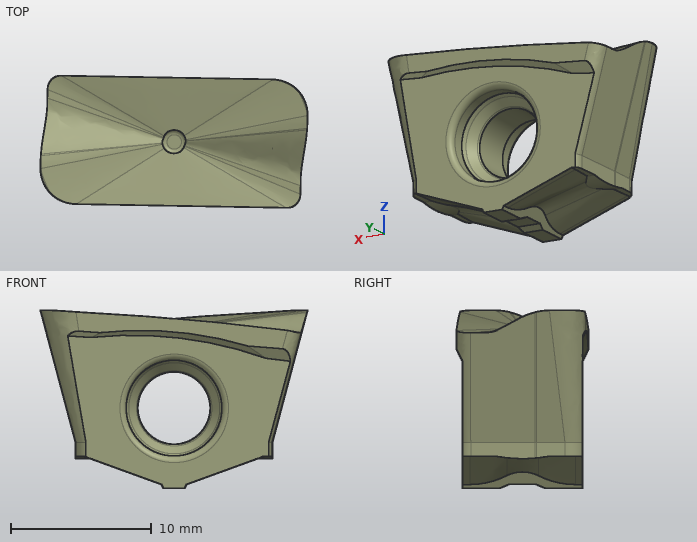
import cadquery as cq
import math


LENGTH = 18.99
HEIGHT = 12.65
SKIRT_TOP_Z = 3.27
END_FLARE = math.tan(math.radians(14.9))
BODY_HALF_WIDTH = 4.27
CLEARANCE = 1.9

WALL_OFFSET = 4.55
TILT = math.tan(math.radians(1.0))
KINK_INNER_Y = 0.85
KINK_OUTER_Y = 0.97
SMALL_RADIUS = 0.99
LARGE_RADIUS_TOP = 2.55
LARGE_RADIUS_SKIRT = 1.46

LEDGE_ON_BODY = [(-11.4, 11.05), (-5.89, 10.71), (0.0, 10.71), (6.53, 9.23), (11.4, 8.64)]
LEDGE_ON_WALL = [(-11.4, 11.47), (-5.26, 11.05), (0.0, 11.1), (5.25, 10.1), (11.4, 9.6)]
LEDGE_CLOSING_Z = HEIGHT + CLEARANCE

APEX = cq.Vector(0, 0, 11.4)
RULING_START = 0.05
RULING_END = 1.2
WALL_START_Z = 12.53
WALL_MIDDLE_Z = 12.05
WALL_END_X = 7.98
WALL_END_Z = 11.22
SMALL_CORNER_MIDDLE_Z = 11.09
SMALL_CORNER_END = (-3.72, 11.03)
WAVE_START = (-3.11, 11.05)
WAVE_MIDDLE = [(-1.63, 11.32), (-1.06, 11.62), (0.0, 12.2)]
WAVE_END_Z = 12.5
WIPER_START_Z = 12.53
WIPER_MIDDLE = (1.4, 12.6)

DIMPLE_RADIUS = 0.84
DIMPLE_FLOOR_RADIUS = 0.51
DIMPLE_FLOOR_Z = 11.2

TAB_HALF_LENGTH = 0.76
TAB_WALL_HEIGHT = 0.27
TAB_WALL_LEAN = 0.5
UNDERSIDE_SLOPE = math.tan(math.radians(20))
WAVE_EDGE_Y = 3.76
WAVE_BEND_Y = 1.1
WAVE_BEND_RISE = 0.65
WAVE_CROWN_RISE = 0.9
UNDERSIDE_OVERRUN = 1.5
SKIRT_BOTTOM_Z = 2.28
SKIRT_DIP_Z = 2.1
SKIRT_DIP_HALF_WIDTH = 1.9
NOTCH_DEPTH = 0.28
NOTCH_MOUTH_Y = 1.6
NOTCH_TOP_Y = 0.93

HOLE_Z = 5.7
MOUTH_RADIUS = 3.85
COLLAR_RADIUS = 3.4
COLLAR_START = 0.51
COLLAR_END = 1.52
SEAT_START_RADIUS = 3.23
SEAT_START = 1.8
SEAT_END_RADIUS = 2.68
SEAT_END = 2.47
BORE_RADIUS = 2.56
BORE_START = 2.62


def half_turn(points):
    """The points turned half a turn about Z."""
    return [(-x, -y, *z) for x, y, *z in points]


def half_turned(shape):
    return shape.rotate(cq.Vector(0, 0, 0), cq.Vector(0, 0, 1), 180)


def half_length(z):
    """Distance from the axis to a wiper facet at height z."""
    return LENGTH / 2 - (HEIGHT - z) * END_FLARE


def wall_y(x):
    """Y of the front flange wall at x."""
    return -(WALL_OFFSET + TILT * x)


def corner_arc(before, corner, after, radius):
    """Start, middle and end points of an arc rounding a corner in plan."""
    corner = cq.Vector(*corner)
    to_before = (cq.Vector(*before) - corner).normalized()
    to_after = (cq.Vector(*after) - corner).normalized()
    half_angle = to_before.getAngle(to_after) / 2
    reach = radius / math.tan(half_angle)
    to_centre = (to_before + to_after).normalized()
    start = corner + to_before * reach
    middle = corner + to_centre * (radius / math.sin(half_angle) - radius)
    end = corner + to_after * reach
    return [(p.x, p.y) for p in (start, middle, end)]


def front_outline(z, large_radius):
    """Large corner arc, small corner arc and kink points along the front half at height z."""
    end_x = half_length(z)
    inner_kink_x = end_x - TILT / 2 * (KINK_OUTER_Y - KINK_INNER_Y)
    inner_kink = (inner_kink_x, KINK_INNER_Y)
    outer_kink = (end_x, KINK_OUTER_Y)
    large_corner = (-end_x, wall_y(-end_x))
    run = (KINK_INNER_Y - wall_y(inner_kink_x)) / (1 - TILT**2)
    small_corner_x = inner_kink_x - TILT * run
    small_corner = (small_corner_x, wall_y(small_corner_x))
    large_arc = corner_arc((-end_x, 0), large_corner, small_corner, large_radius)
    small_arc = corner_arc(large_corner, small_corner, inner_kink, SMALL_RADIUS)
    return large_arc, small_arc, [inner_kink, outer_kink]


def outline(z, large_radius):
    """Closed plan outline at height z."""
    front = front_outline(z, large_radius)
    back = [half_turn(points) for points in front]
    path = cq.Workplane("XY", origin=(0, 0, z)).moveTo(*back[2][-1])
    for large_arc, small_arc, kinks in (front, back):
        path = path.lineTo(*large_arc[0]).threePointArc(*large_arc[1:])
        path = path.lineTo(*small_arc[0]).threePointArc(*small_arc[1:])
        path = path.lineTo(*kinks[0]).lineTo(*kinks[1])
    return path.close()


def make_block():
    """Upright skirt with the flared upper part on it."""
    skirt = outline(SKIRT_TOP_Z, LARGE_RADIUS_SKIRT).extrude(-SKIRT_TOP_Z)
    lower = outline(SKIRT_TOP_Z, LARGE_RADIUS_SKIRT).val()
    upper = outline(HEIGHT, LARGE_RADIUS_TOP).val()
    flared = cq.Solid.makeLoft([lower, upper], True)
    return skirt.union(cq.Workplane(flared))


def flange_profile(ledge, y_at):
    """Closed flange profile above a ledge line, with each point at the depth given by y_at."""
    start, arch_start, arch_middle, arch_end, end = [cq.Vector(x, y_at(x), z) for x, z in ledge]
    top_start = cq.Vector(start.x, start.y, LEDGE_CLOSING_Z)
    top_end = cq.Vector(end.x, end.y, LEDGE_CLOSING_Z)
    return cq.Wire.assembleEdges([
        cq.Edge.makeLine(start, arch_start),
        cq.Edge.makeThreePointArc(arch_start, arch_middle, arch_end),
        cq.Edge.makeLine(arch_end, end),
        cq.Edge.makeLine(end, top_end),
        cq.Edge.makeLine(top_end, top_start),
        cq.Edge.makeLine(top_start, start),
    ])


def make_side_limits():
    """Slab between the flat side faces, widened by the two flanges."""
    slab = cq.Workplane().box(2 * LENGTH, 2 * BODY_HALF_WIDTH, 4 * HEIGHT)
    on_body = flange_profile(LEDGE_ON_BODY, lambda x: -BODY_HALF_WIDTH)
    on_wall = flange_profile(LEDGE_ON_WALL, wall_y)
    flange = cq.Solid.makeLoft([on_body, on_wall], True)
    return slab.union(cq.Workplane(flange)).union(cq.Workplane(half_turned(flange)))


def on_end_face(y, z):
    """Point on the right end face."""
    return (half_length(z) - TILT * max(0, KINK_INNER_Y - y), y, z)


def rim_sections():
    """Edge makers and points of the rim, from the large front corner to the right wiper facet."""
    large_arc, small_arc, _ = front_outline(HEIGHT, LARGE_RADIUS_TOP)
    corner_start = (*large_arc[0], HEIGHT)
    corner_middle = (*large_arc[1], HEIGHT)
    wall_start = (*large_arc[2], WALL_START_Z)
    wall_middle = (0, wall_y(0), WALL_MIDDLE_Z)
    wall_end = (WALL_END_X, wall_y(WALL_END_X), WALL_END_Z)
    small_end = on_end_face(*SMALL_CORNER_END)
    flare_shift = half_length(HEIGHT) - half_length(SMALL_CORNER_MIDDLE_Z)
    small_middle = (small_arc[1][0] - flare_shift, small_arc[1][1], SMALL_CORNER_MIDDLE_Z)
    wave_start = on_end_face(*WAVE_START)
    wave_middle = [on_end_face(*point) for point in WAVE_MIDDLE]
    wave_end = on_end_face(KINK_INNER_Y, WAVE_END_Z)
    wiper_start = on_end_face(KINK_OUTER_Y, WIPER_START_Z)
    wiper_middle = on_end_face(*WIPER_MIDDLE)
    wiper_end = half_turn([corner_start])[0]
    return [
        (make_arc, [corner_start, corner_middle, wall_start]),
        (make_arc, [wall_start, wall_middle, wall_end]),
        (make_arc, [wall_end, small_middle, small_end]),
        (make_line, [small_end, wave_start]),
        (make_spline, [wave_start, *wave_middle, wave_end]),
        (make_line, [wave_end, wiper_start]),
        (make_arc, [wiper_start, wiper_middle, wiper_end]),
    ]


def make_line(points):
    return cq.Edge.makeLine(*points)


def make_arc(points):
    return cq.Edge.makeThreePointArc(*points)


def make_spline(points):
    return cq.Edge.makeSpline(points)


def along_rulings(points, fraction):
    """The points moved along their lines from the apex."""
    return [APEX + (cq.Vector(*point) - APEX) * fraction for point in points]


def make_top_cutters():
    """Space above the top face, one piece for each section of the rim."""
    cutters = []
    for make_edge, points in rim_sections():
        near_edge = make_edge(along_rulings(points, RULING_START))
        far_edge = make_edge(along_rulings(points, RULING_END))
        face = cq.Face.makeRuledSurface(near_edge, far_edge)
        space = cq.Solid.extrudeLinear(face, cq.Vector(0, 0, HEIGHT))
        cutters += [space, half_turned(space)]
    return cutters


def make_dimple():
    """Round recess whose wall curves into its floor."""
    recess = cq.Workplane(origin=(0, 0, DIMPLE_FLOOR_Z)).circle(DIMPLE_RADIUS).extrude(HEIGHT)
    return recess.faces("<Z").edges().fillet(DIMPLE_RADIUS - DIMPLE_FLOOR_RADIUS).val()


def beside_tab(y, rise):
    """Point on the left wall of the tab, at a rise above the side edge of that wall."""
    z = TAB_WALL_HEIGHT + rise
    return cq.Vector(-TAB_HALF_LENGTH - TAB_WALL_LEAN * z, y, z)


def beyond_skirt(y, rise):
    """Far end of the underside line that starts beside the tab; there the wave has died out."""
    start = beside_tab(y, rise)
    edge = beside_tab(y, 0)
    skirt_x = -half_length(SKIRT_TOP_Z)
    at_skirt = cq.Vector(skirt_x, y, edge.z + UNDERSIDE_SLOPE * (edge.x - skirt_x))
    return start + (at_skirt - start) * UNDERSIDE_OVERRUN


def wave_sections():
    """(Y, rise) points of the wave beside the tab: two lines outside three arcs."""
    outer_y = BODY_HALF_WIDTH + CLEARANCE
    hollow_run = WAVE_EDGE_Y - WAVE_BEND_Y
    hollow_radius = (hollow_run**2 + WAVE_BEND_RISE**2) / (2 * WAVE_BEND_RISE)
    hollow_y = WAVE_BEND_Y + hollow_run / 2
    hollow_rise = hollow_radius - math.sqrt(hollow_radius**2 - (hollow_run / 2) ** 2)
    flat = [(outer_y, 0), (WAVE_EDGE_Y, 0)]
    hollow = [(WAVE_EDGE_Y, 0), (hollow_y, hollow_rise), (WAVE_BEND_Y, WAVE_BEND_RISE)]
    crown = [(WAVE_BEND_Y, WAVE_BEND_RISE), (0, WAVE_CROWN_RISE), (-WAVE_BEND_Y, WAVE_BEND_RISE)]
    mirrored = [[(-y, rise) for y, rise in section] for section in (flat, hollow)]
    return [(make_line, flat), (make_arc, hollow), (make_arc, crown),
            (make_arc, mirrored[1]), (make_line, mirrored[0])]


def make_skirt_limit():
    """Space below the lower edge of the skirt."""
    side = LENGTH / 2
    profile = cq.Workplane("YZ").moveTo(-side, SKIRT_BOTTOM_Z)
    profile = profile.lineTo(-SKIRT_DIP_HALF_WIDTH, SKIRT_BOTTOM_Z)
    profile = profile.threePointArc((0, SKIRT_DIP_Z), (SKIRT_DIP_HALF_WIDTH, SKIRT_BOTTOM_Z))
    profile = profile.lineTo(side, SKIRT_BOTTOM_Z).lineTo(side, -HEIGHT).lineTo(-side, -HEIGHT)
    return profile.close().extrude(LENGTH, both=True).val()


def make_underside_cutters():
    """Space under the two sloping wavy faces, beside the leaning tab walls."""
    skirt_limit = make_skirt_limit()
    down_along_tab = cq.Vector(TAB_WALL_LEAN, 0, -1) * HEIGHT
    cutters = []
    for make_edge, section in wave_sections():
        tab_edge = make_edge([beside_tab(y, rise) for y, rise in section])
        far_edge = make_edge([beyond_skirt(y, rise) for y, rise in section])
        face = cq.Face.makeRuledSurface(tab_edge, far_edge)
        space = cq.Solid.extrudeLinear(face, down_along_tab).intersect(skirt_limit)
        cutters += [space, half_turned(space)]
    return cutters


def make_tab_notch():
    """Shallow groove along X under the tab."""
    corners = [(-NOTCH_MOUTH_Y, 0), (-NOTCH_TOP_Y, NOTCH_DEPTH),
               (NOTCH_TOP_Y, NOTCH_DEPTH), (NOTCH_MOUTH_Y, 0)]
    return cq.Workplane("YZ").polyline(corners).close().extrude(LENGTH, both=True).val()


def make_screw_hole():
    """Hole with a rounded mouth, a collar and a conical seat at both sides."""
    face_y = -BODY_HALF_WIDTH
    diagonal = 1 - math.sqrt(0.5)
    mouth_middle = (face_y + diagonal * COLLAR_START,
                    COLLAR_RADIUS + diagonal * (MOUTH_RADIUS - COLLAR_RADIUS))
    profile = cq.Workplane("YZ").lineTo(face_y, 0).lineTo(face_y, MOUTH_RADIUS)
    profile = profile.threePointArc(mouth_middle, (face_y + COLLAR_START, COLLAR_RADIUS))
    profile = profile.lineTo(face_y + COLLAR_END, COLLAR_RADIUS)
    profile = profile.lineTo(face_y + SEAT_START, SEAT_START_RADIUS)
    profile = profile.lineTo(face_y + SEAT_END, SEAT_END_RADIUS)
    profile = profile.lineTo(face_y + BORE_START, BORE_RADIUS).lineTo(0, BORE_RADIUS).close()
    front = profile.revolve(360, (0, 0, 0), (1, 0, 0)).val()
    front = front.translate(cq.Vector(0, 0, HOLE_Z))
    return front.fuse(half_turned(front))


result = make_block().intersect(make_side_limits())
cutters = make_top_cutters() + make_underside_cutters()
cutters += [make_dimple(), make_tab_notch(), make_screw_hole()]
for cutter in cutters:
    result = result.cut(cq.Workplane(cutter))